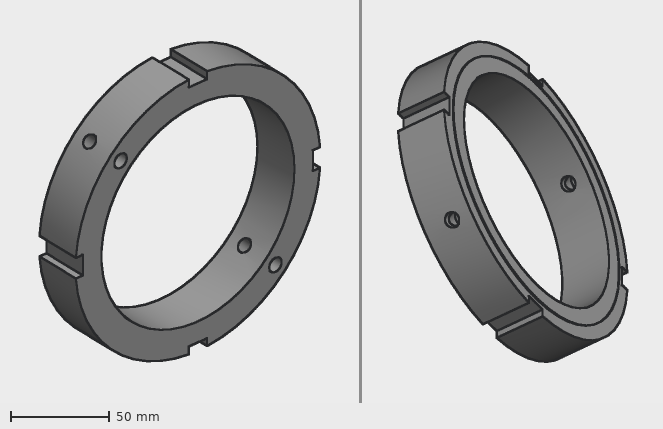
import cadquery as cq

outer_diameter = 165.0
bore_diameter = 130.0
total_width = 29.0

face_diameter = 149.0
face_height = 0.5

slot_count = 4
slot_width = 12.3
slot_depth = 5.0

hole_diameter = 7.9
hole_x = 12.0
hole_angles = (45, 225)

axial_hole_diameter = 8.4

outer_radius = outer_diameter / 2
body_width = total_width - face_height
mid_wall_radius = (outer_diameter + bore_diameter) / 4
axial_hole_depth = total_width - hole_x


def make_ring():
    body = cq.Workplane("YZ").workplane(offset=face_height).circle(outer_radius).extrude(body_width)
    face = cq.Workplane("YZ").circle(face_diameter / 2).extrude(total_width)
    bore = cq.Workplane("YZ").circle(bore_diameter / 2).extrude(total_width)
    return body.union(face).cut(bore)


def make_slot(angle):
    cutter = cq.Workplane("XY").box(total_width, slot_width, 2 * slot_depth, centered=(False, True, True))
    return cutter.translate((0, 0, outer_radius)).rotate((0, 0, 0), (1, 0, 0), angle)


def make_crossing_holes(angle):
    radial = cq.Workplane("XY").center(hole_x, 0).circle(hole_diameter / 2).extrude(outer_diameter)
    axial = (
        cq.Workplane("YZ")
        .workplane(offset=hole_x)
        .center(0, mid_wall_radius)
        .circle(axial_hole_diameter / 2)
        .extrude(axial_hole_depth)
    )
    return radial.union(axial).rotate((0, 0, 0), (1, 0, 0), angle)


result = make_ring()
for index in range(slot_count):
    result = result.cut(make_slot(index * 360 / slot_count))
for hole_angle in hole_angles:
    result = result.cut(make_crossing_holes(hole_angle))